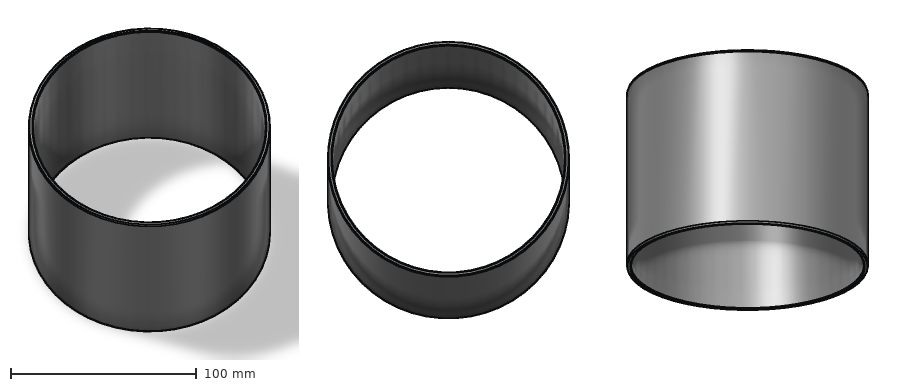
import cadquery as cq

outer_diameter = 130.0
wall_thickness = 2.43
height = 100.0

outer_chamfer_height = 1.2
outer_chamfer_depth = 0.44

bore_chamfer_height = 0.6
bore_chamfer_depth = 0.6

outer_radius = outer_diameter / 2
bore_radius = outer_radius - wall_thickness
outer_rim_radius = outer_radius - outer_chamfer_depth
bore_rim_radius = bore_radius + bore_chamfer_depth


def sleeve():
    """Revolve the wall section about Z, with both ends chamfered inside and out."""
    section = [
        (bore_rim_radius, 0),
        (outer_rim_radius, 0),
        (outer_radius, outer_chamfer_height),
        (outer_radius, height - outer_chamfer_height),
        (outer_rim_radius, height),
        (bore_rim_radius, height),
        (bore_radius, height - bore_chamfer_height),
        (bore_radius, bore_chamfer_height),
    ]
    return cq.Workplane("XZ").polyline(section).close().revolve(360, (0, 0, 0), (0, 1, 0))


result = sleeve()